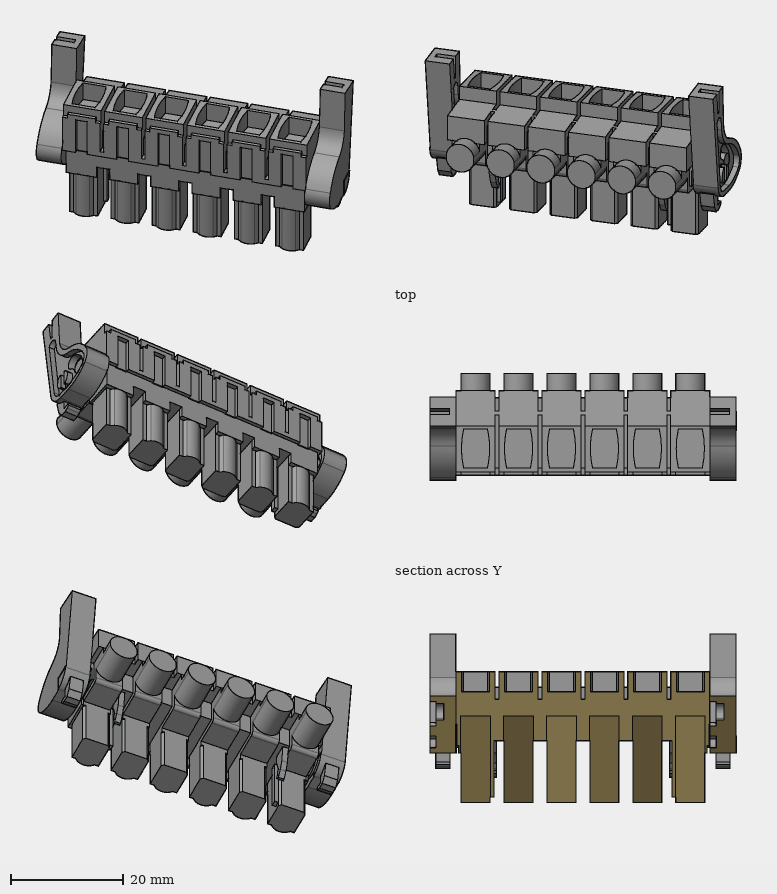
import cadquery as cq
import math


OVERALL_LENGTH = 54.6
POLES = 6
PITCH = 7.65
GAP_WIDTH = 0.65
POLE_WIDTH = 5.2
ROW_WIDTH = POLES * PITCH - GAP_WIDTH
POLE_CENTRES = [(i - (POLES - 1) / 2) * PITCH for i in range(POLES)]
GAP_CENTRES = [x + PITCH / 2 for x in POLE_CENTRES[:-1]]
BEYOND = 32.75

MODULE_TOP = 23.3
MODULE_DEPTH = 8.2
WALL_REAR = 10.4
BODY_BOTTOM = 13.9
BLOCK_REAR = 14.45
BLOCK_BOTTOM = 15.4
BLOCK_TOP_FRONT = 20.8
BLOCK_TOP_REAR = 20.0

WEB_FRONT = 10.1
WEB_REAR = 10.85
WEB_END = 13.2
GAP_FLOOR = 18.45
FRONT_GAP_FLOOR = 14.95
FRONT_GAP_DEPTH = 0.7

PLATE_THICKNESS = 0.65
PLATE_TOP = 21.0
TONGUE_TOP = 21.85
SLOT_WIDTH = 2.2
SLOT_TOP = 20.9
SLOT_DEPTH = 0.8

WINDOW_FRONT = 0.7
WINDOW_REAR = 7.6
WINDOW_END_WIDTH = 4.25
WINDOW_MID_WIDTH = 5.0
WINDOW_DEPTH = 3.55

BASE_WIDTH = 44.2
BASE_BOTTOM = 11.05
TAB_BOTTOM = 8.85
HUB_RADIUS = 2.95

KEY_WIDTH = 0.7
KEY_FRONT = 4.35
KEY_DEPTH = 1.1
KEY_BOTTOM = 1.0
LATCH_WIDTH = 1.1

SLEEVE_DEPTH = 5.95
SLEEVE_REAR_CHAMFER = 0.45
SHOULDER_Y = 0.8
NOSE_Y = 0.35
SHOULDER_HALF_WIDTH = 1.85
NOSE_HALF_WIDTH = 1.25
CORE_BOTTOM = 9.85
CORE_REAR = 11.35
CORE_REAR_RADIUS = 0.7
TUBE_DIAMETER = 5.3
TUBE_AXIS_Z = 13.5
TUBE_END = 17.5

HEEL_PAD = 0.1
LEVER_THICKNESS = (OVERALL_LENGTH - HEEL_PAD - ROW_WIDTH) / 2
LEVER_POCKET_DEPTH = 1.1
HEEL_FRONT = 7.3
HEEL_REAR = 10.75
HEEL_TOP = 11.85
GRIP_SLIT_LENGTH = 3.5
PIVOT = (6.75, 12.8)
PIVOT_RADIUS = 1.7
PIVOT_HEIGHT = 2.95
PIVOT_GROOVE_WIDTH = 1.05
PIVOT_GROOVE_DEPTH = 0.95
CAM_PIN = (3.05, 13.7)
CAM_PIN_RADIUS = 1.35
CAM_PIN_RECESS = 0.05
CAM_SLOT_DEPTH = 1.35
CAM_SLOT_TRAVEL = math.radians(51)
HOOK_INSET = 1.05
HOOK_WIDTH = 2.55


def block(x_range, y_range, z_range):
    """Box between two limits on each axis."""
    sizes = [high - low for low, high in (x_range, y_range, z_range)]
    corner = (x_range[0], y_range[0], z_range[0])
    return cq.Workplane("XY").box(*sizes, centered=False).translate(corner)


def centred_block(x_centre, width, y_range, z_range):
    """Box that is centred on x_centre."""
    return block((x_centre - width / 2, x_centre + width / 2), y_range, z_range)


def side_sketch(x):
    """Sketch plane across the row at x; its points are (y, z) and it extrudes towards +X."""
    return cq.Workplane("YZ", origin=(x, 0, 0))



def module_row():
    """Full-length upper body with the sloping rear block."""
    outline = [
        (0, BODY_BOTTOM),
        (0, MODULE_TOP),
        (MODULE_DEPTH, MODULE_TOP),
        (MODULE_DEPTH, BLOCK_TOP_FRONT),
        (BLOCK_REAR, BLOCK_TOP_REAR),
        (BLOCK_REAR, BLOCK_BOTTOM),
        (WALL_REAR, BLOCK_BOTTOM),
        (WALL_REAR, BODY_BOTTOM),
    ]
    return side_sketch(-ROW_WIDTH / 2).polyline(outline).close().extrude(ROW_WIDTH)


def front_plate():
    """Plate across the module fronts, with a raised tongue on each module."""
    thickness = (-PLATE_THICKNESS, 0)
    plate = centred_block(0, ROW_WIDTH, thickness, (BODY_BOTTOM, PLATE_TOP))
    for x in POLE_CENTRES:
        plate = plate.union(centred_block(x, POLE_WIDTH, thickness, (BODY_BOTTOM, TONGUE_TOP)))
    return plate


def gap_cutter(x):
    """Space between two modules, which leaves a low web and one full-height rib."""
    front = centred_block(x, GAP_WIDTH, (-BEYOND, WEB_FRONT), (GAP_FLOOR, BEYOND))
    front_drop = centred_block(x, GAP_WIDTH, (-BEYOND, FRONT_GAP_DEPTH), (FRONT_GAP_FLOOR, BEYOND))
    rear = centred_block(x, GAP_WIDTH, (WEB_REAR, BEYOND), (GAP_FLOOR, BEYOND))
    rear_drop = centred_block(x, GAP_WIDTH, (WEB_END, BEYOND), (0, BEYOND))
    return front.union(front_drop).union(rear).union(rear_drop)


def wire_window(x):
    """Blind opening in a module top, with bowed sides."""
    middle = (WINDOW_FRONT + WINDOW_REAR) / 2
    half_end = WINDOW_END_WIDTH / 2
    half_mid = WINDOW_MID_WIDTH / 2
    return (
        cq.Workplane("XY", origin=(x, 0, MODULE_TOP))
        .moveTo(-half_end, WINDOW_FRONT)
        .lineTo(half_end, WINDOW_FRONT)
        .threePointArc((half_mid, middle), (half_end, WINDOW_REAR))
        .lineTo(-half_end, WINDOW_REAR)
        .threePointArc((-half_mid, middle), (-half_end, WINDOW_FRONT))
        .close()
        .extrude(-WINDOW_DEPTH)
    )


def front_slot(x):
    """Groove down the front plate of a module."""
    depth = (-PLATE_THICKNESS, SLOT_DEPTH - PLATE_THICKNESS)
    return centred_block(x, SLOT_WIDTH, depth, (BODY_BOTTOM, SLOT_TOP))


def base():
    """Bar under the modules, with a tab above each sleeve; the end tabs reach the bar ends."""
    bar = centred_block(0, BASE_WIDTH, (0, WALL_REAR), (BASE_BOTTOM, BODY_BOTTOM))
    tab_y = (0, SLEEVE_DEPTH)
    tab_z = (TAB_BOTTOM, BASE_BOTTOM)
    for x in POLE_CENTRES:
        bar = bar.union(centred_block(x, POLE_WIDTH, tab_y, tab_z))
    first = POLE_CENTRES[0]
    bar = bar.union(block((-BASE_WIDTH / 2, first), tab_y, tab_z))
    return bar.union(block((-first, BASE_WIDTH / 2), tab_y, tab_z))


def left_hub():
    """Round hub on the base end, kept clear of the lever by the height of its heel pad."""
    start = -ROW_WIDTH / 2 + HEEL_PAD
    height = ROW_WIDTH / 2 - HEEL_PAD - BASE_WIDTH / 2
    return side_sketch(start).center(*PIVOT).circle(HUB_RADIUS).extrude(height)


def left_coding_key():
    """Rib on the inner side of the first sleeve."""
    start = POLE_CENTRES[0] + POLE_WIDTH / 2
    return block((start, start + KEY_WIDTH), (KEY_FRONT, KEY_FRONT + KEY_DEPTH), (KEY_BOTTOM, BASE_BOTTOM))


def left_latch():
    """Thin hook hanging from the base, next to the first sleeve."""
    start = POLE_CENTRES[0] + POLE_WIDTH / 2
    return (
        side_sketch(start)
        .moveTo(7.1, BASE_BOTTOM)
        .lineTo(7.2, TAB_BOTTOM)
        .threePointArc((7.6, 7.9), (7.75, 7.1))
        .lineTo(7.5, 6.05)
        .lineTo(7.5, 5.75)
        .lineTo(7.1, 5.25)
        .lineTo(7.6, 4.55)
        .lineTo(7.9, 4.7)
        .lineTo(8.75, 6.0)
        .lineTo(9.4, 7.65)
        .lineTo(9.85, BASE_BOTTOM)
        .close()
        .extrude(LATCH_WIDTH)
    )


def make_housing():
    housing = module_row().union(front_plate())
    for x in GAP_CENTRES:
        housing = housing.cut(gap_cutter(x))
    for x in POLE_CENTRES:
        housing = housing.cut(wire_window(x)).cut(front_slot(x))
    housing = housing.union(base())
    for x in POLE_CENTRES:
        housing = housing.cut(insert_core(x))
    for feature in (left_hub(), left_coding_key(), left_latch()):
        housing = housing.union(feature).union(feature.mirror("YZ"))
    return housing



def insert_core(x):
    """Part of a pole insert that sits in a matching recess of the housing."""
    body = centred_block(x, POLE_WIDTH, (SHOULDER_Y, CORE_REAR), (CORE_BOTTOM, BLOCK_BOTTOM))
    body = body.edges("|X and >Y and <Z").fillet(CORE_REAR_RADIUS)
    stem = centred_block(x, POLE_WIDTH, (SHOULDER_Y, SLEEVE_DEPTH), (TAB_BOTTOM, CORE_BOTTOM))
    return body.union(stem)


def sleeve(x):
    """Mating sleeve with a shouldered, rounded front and chamfered rear corners."""
    half = POLE_WIDTH / 2
    rear_half = half - SLEEVE_REAR_CHAMFER
    rear_side = SLEEVE_DEPTH - SLEEVE_REAR_CHAMFER
    return (
        cq.Workplane("XY", origin=(x, 0, 0))
        .moveTo(-half, SHOULDER_Y)
        .lineTo(-SHOULDER_HALF_WIDTH, SHOULDER_Y)
        .lineTo(-NOSE_HALF_WIDTH, NOSE_Y)
        .threePointArc((0, 0), (NOSE_HALF_WIDTH, NOSE_Y))
        .lineTo(SHOULDER_HALF_WIDTH, SHOULDER_Y)
        .lineTo(half, SHOULDER_Y)
        .lineTo(half, rear_side)
        .lineTo(rear_half, SLEEVE_DEPTH)
        .lineTo(-rear_half, SLEEVE_DEPTH)
        .lineTo(-half, rear_side)
        .close()
        .extrude(TAB_BOTTOM)
    )


def screw_tube(x):
    """Round tube with flat sides; under the rear block its sides run straight up to the block."""
    length = TUBE_END - CORE_REAR
    barrel = (
        cq.Workplane("XZ", origin=(x, CORE_REAR, TUBE_AXIS_Z))
        .circle(TUBE_DIAMETER / 2)
        .extrude(-length)
    )
    barrel = barrel.intersect(centred_block(x, POLE_WIDTH, (0, BEYOND), (0, BEYOND)))
    neck = centred_block(x, POLE_WIDTH, (CORE_REAR, BLOCK_REAR), (TUBE_AXIS_Z, BLOCK_BOTTOM))
    under_block = centred_block(x, PITCH, (CORE_REAR, BLOCK_REAR), (BLOCK_BOTTOM, BEYOND))
    return barrel.union(neck).cut(under_block)


def make_pole_insert(x):
    """One pole: a core with a mating sleeve below it and a screw tube behind it."""
    return insert_core(x).union(sleeve(x)).union(screw_tube(x)).clean()



def lever_outline(x):
    """Side profile of the lever: a straight grip that widens into a rounded cam."""
    return (
        side_sketch(x)
        .moveTo(13.3, 29.5)
        .lineTo(8.2, 30.05)
        .lineTo(7.7, 22.3)
        .threePointArc((6.55, 19.95), (4.6, 18.75))
        .threePointArc((1.5, 17.3), (-1.05, 14.6))
        .threePointArc((-1.55, 12.95), (-0.8, 11.15))
        .threePointArc((1.7, 9.5), (4.7, 8.85))
        .lineTo(7.5, 8.85)
        .threePointArc((9.5, 9.6), (10.65, 11.45))
        .close()
    )


def lever_pocket(x):
    """Shallow pocket that leaves a rim along the lever edge."""
    return (
        side_sketch(x)
        .moveTo(11.2, 24.0)
        .threePointArc((10.15, 24.75), (9.05, 23.75))
        .lineTo(8.8, 21.9)
        .threePointArc((7.65, 19.45), (5.45, 17.95))
        .threePointArc((2.0, 16.4), (-0.2, 13.75))
        .threePointArc((-0.5, 12.7), (0.0, 11.5))
        .threePointArc((2.15, 10.4), (4.7, 9.85))
        .lineTo(7.95, 9.85)
        .threePointArc((9.0, 10.5), (9.55, 11.75))
        .close()
        .extrude(LEVER_POCKET_DEPTH)
    )


def grip_slit(x):
    """Tapered slit in the top of the grip."""
    outline = [(11.35, 30.05), (10.75, 25.75), (10.2, 25.75), (10.2, 30.05)]
    return side_sketch(x).polyline(outline).close().extrude(GRIP_SLIT_LENGTH)


def cam_slot(x):
    """Slot in the pocket floor, curved about the pivot; a round pin fills its lower end."""
    pivot_y, pivot_z = PIVOT
    pin_y, pin_z = CAM_PIN
    radius = math.hypot(pin_y - pivot_y, pin_z - pivot_z)
    pin_angle = math.atan2(pin_z - pivot_z, pin_y - pivot_y)

    def point(offset, travel):
        """Point at an offset from the slot centre line, turned back from the pin by travel."""
        angle = pin_angle - travel
        reach = radius + offset
        return (pivot_y + reach * math.cos(angle), pivot_z + reach * math.sin(angle))

    half = CAM_SLOT_TRAVEL / 2
    full = CAM_SLOT_TRAVEL
    end_cap = CAM_PIN_RADIUS / radius
    slot = (
        side_sketch(x)
        .moveTo(*point(CAM_PIN_RADIUS, 0))
        .threePointArc(point(CAM_PIN_RADIUS, half), point(CAM_PIN_RADIUS, full))
        .threePointArc(point(0, full + end_cap), point(-CAM_PIN_RADIUS, full))
        .threePointArc(point(-CAM_PIN_RADIUS, half), point(-CAM_PIN_RADIUS, 0))
        .threePointArc(point(0, -end_cap), point(CAM_PIN_RADIUS, 0))
        .close()
        .extrude(CAM_SLOT_DEPTH)
    )
    pin_height = CAM_SLOT_DEPTH - CAM_PIN_RECESS
    pin = side_sketch(x + CAM_PIN_RECESS).center(pin_y, pin_z).circle(CAM_PIN_RADIUS).extrude(pin_height)
    return slot.cut(pin)


def pivot_head(x):
    """Grooved pivot head that rises from the pocket floor to the lever face."""
    head = side_sketch(x).center(*PIVOT).circle(PIVOT_RADIUS).extrude(LEVER_POCKET_DEPTH)
    trim = side_sketch(x).center(*PIVOT).rect(BEYOND, PIVOT_HEIGHT).extrude(LEVER_POCKET_DEPTH)
    groove = side_sketch(x).center(*PIVOT).rect(PIVOT_GROOVE_WIDTH, BEYOND).extrude(PIVOT_GROOVE_DEPTH)
    return head.intersect(trim).cut(groove)


def lever_hook(x):
    """Latching hook under the lever."""
    return (
        side_sketch(x + HOOK_INSET)
        .moveTo(10.25, 9.95)
        .lineTo(9.6, 7.25)
        .lineTo(8.75, 6.05)
        .lineTo(7.5, 6.05)
        .lineTo(6.75, 6.4)
        .lineTo(6.35, 6.75)
        .lineTo(6.35, 7.25)
        .lineTo(7.85, 7.1)
        .lineTo(7.85, 9.95)
        .close()
        .extrude(HOOK_WIDTH)
    )


def heel_pad(x):
    """Low pad on the plain side of the lever, over the heel of the cam."""
    inner = x + LEVER_THICKNESS
    limits = block((inner, inner + HEEL_PAD), (HEEL_FRONT, HEEL_REAR), (0, HEEL_TOP))
    return lever_outline(inner).extrude(HEEL_PAD).intersect(limits)


def make_lever(x):
    """Locking lever whose pocketed face lies at x."""
    lever = lever_outline(x).extrude(LEVER_THICKNESS)
    lever = lever.cut(lever_pocket(x)).cut(grip_slit(x))
    lever = lever.cut(cam_slot(x + LEVER_POCKET_DEPTH))
    return lever.union(pivot_head(x)).union(lever_hook(x)).union(heel_pad(x))



housing = make_housing()
pole_inserts = [make_pole_insert(x) for x in POLE_CENTRES]
levers = [make_lever(x) for x in (-ROW_WIDTH / 2 - LEVER_THICKNESS, ROW_WIDTH / 2)]

result = cq.Compound.makeCompound(
    [
        housing.val(),
        *[insert.val() for insert in pole_inserts],
        *[lever.val() for lever in levers],
    ]
)